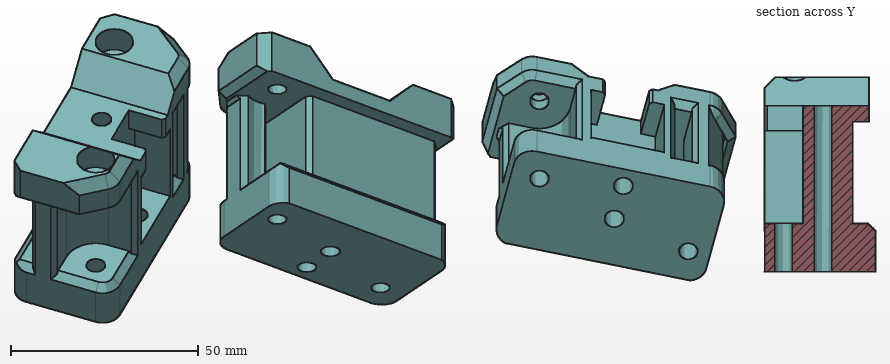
import cadquery as cq
import math

width = 29.75
length = 65.5
height = 52.0

level_tolerance = 0.005

base_length = 57.5
base_top = 13.0
corner_radius = 5.0
base_trim = 0.25
edge_chamfer = 2.0
chamfer_foot = base_top - edge_chamfer

head_left = 1.8
head_bottom = 40.1
deck_top = 44.4
left_corner_chamfer = 2.95
slant_x = 8.0
slant_y = 6.7
top_chamfer = 2.95
valley_half_floor = 9.5
valley_half_top = valley_half_floor + height - deck_top

right_screw = (21.7, -21.1)
left_screw = (8.8, 22.8)
screw_diameter = 5.0
counterbore_diameter = 10.0
clearance_radius = 8.5

column_left = 6.1
column_end = 14.4
column_chamfer = 1.3
column_top = head_bottom + edge_chamfer
flare = 0.9
flared_half_length = base_length / 2 + flare

small_start = 19.25
small_chamfer_x = 1.6
small_cylinder_start = 20.9
small_cylinder_end = 26.9
small_end_taper = 0.6

pocket_center_y = 1.25
pocket_left = 19.45
pocket_top = 37.65
pocket_width = 20.05
notch_width = 12.05
notch_flare = 0.8
pocket_hole_x = (pocket_left + width) / 2
pocket_hole_diameter = 5.1
column_hole_x = 14.1
column_hole_diameter = 5.2


def block(x_range, y_range, z_range):
    """Axis-aligned box between the given limits."""
    size = [limits[1] - limits[0] for limits in (x_range, y_range, z_range)]
    corner = (x_range[0], y_range[0], z_range[0])
    return cq.Workplane("XY").box(*size, centered=False).translate(corner)


def cylinder(center, diameter, bottom, top):
    """Vertical cylinder between two heights."""
    return (
        cq.Workplane("XY", origin=(*center, bottom))
        .circle(diameter / 2)
        .extrude(top - bottom)
    )


def chamfer_edges(body, level, keep, size):
    """Chamfer the edges lying at one height whose centre satisfies keep."""
    chosen = [
        edge
        for edge in body.edges("#Z").vals()
        if abs(edge.Center().z - level) < level_tolerance and keep(edge.Center())
    ]
    return body.newObject(chosen).chamfer(size)


def make_base():
    half = base_length / 2
    plate = (
        block((0, width), (-half, half), (0, base_top))
        .edges("|Z and >X")
        .fillet(corner_radius)
        .faces(">Z")
        .edges()
        .chamfer(edge_chamfer)
    )
    rounded = (
        block((-base_trim, width), (-half, half), (0, base_top))
        .edges("|Z")
        .fillet(corner_radius)
    )
    return plate.intersect(rounded)


def make_head():
    half = length / 2
    slant_start = width - slant_x
    outline = [
        (head_left, -half + left_corner_chamfer),
        (head_left + left_corner_chamfer, -half),
        (slant_start, -half),
        (width, -half + slant_y),
        (width, half - slant_y),
        (slant_start, half),
        (head_left + left_corner_chamfer, half),
        (head_left, half - left_corner_chamfer),
    ]
    head = (
        cq.Workplane("XY", origin=(0, 0, head_bottom))
        .polyline(outline)
        .close()
        .extrude(height - head_bottom)
        .edges("|Z and >X")
        .fillet(corner_radius)
    )
    head = chamfer_edges(head, height, lambda c: c.x > slant_start, top_chamfer)
    head = chamfer_edges(
        head, head_bottom, lambda c: c.x > head_left + left_corner_chamfer, edge_chamfer
    )
    valley = (
        cq.Workplane("YZ")
        .moveTo(-valley_half_top, height)
        .lineTo(-valley_half_floor, deck_top)
        .lineTo(valley_half_floor, deck_top)
        .lineTo(valley_half_top, height)
        .close()
        .extrude(width)
    )
    return head.cut(valley)


def column_envelope():
    """Side profile that trims the columns flush with the base and flares them at the head."""
    half = base_length / 2
    flare_start = head_bottom - flare
    side = [
        (half, chamfer_foot),
        (half, flare_start),
        (flared_half_length, head_bottom),
        (flared_half_length, column_top),
    ]
    mirrored = [(-y, z) for y, z in reversed(side)]
    return cq.Workplane("YZ").polyline(side + mirrored).close().extrude(width)


def make_main_column():
    wall_right = right_screw[0] - clearance_radius
    arm_front = right_screw[1] + clearance_radius
    bevel_start = -base_length / 2 + column_chamfer
    bevel = bevel_start + flared_half_length
    arc_offset = clearance_radius * math.sqrt(0.5)
    return (
        cq.Workplane("XY", origin=(0, 0, chamfer_foot))
        .moveTo(column_left, bevel_start)
        .lineTo(column_left + bevel, -flared_half_length)
        .lineTo(wall_right - bevel, -flared_half_length)
        .lineTo(wall_right, bevel_start)
        .lineTo(wall_right, right_screw[1])
        .threePointArc(
            (right_screw[0] - arc_offset, right_screw[1] + arc_offset),
            (right_screw[0], arm_front),
        )
        .lineTo(width - column_chamfer, arm_front)
        .lineTo(width, arm_front + column_chamfer)
        .lineTo(width, column_end - column_chamfer)
        .lineTo(width - column_chamfer, column_end)
        .lineTo(column_left + column_chamfer, column_end)
        .lineTo(column_left, column_end - column_chamfer)
        .close()
        .extrude(column_top - chamfer_foot)
    )


def clearance_x(y):
    """X of the clearance cylinder's right side around the left screw, at a given Y."""
    return left_screw[0] + math.sqrt(clearance_radius**2 - (y - left_screw[1]) ** 2)


def make_small_column():
    arc_start = (clearance_x(small_cylinder_start), small_cylinder_start)
    arc_middle = (left_screw[0] + clearance_radius, left_screw[1])
    arc_end = (clearance_x(small_cylinder_end), small_cylinder_end)
    taper = small_end_taper * (flared_half_length - small_cylinder_end)
    slant_length = math.hypot(slant_x, slant_y)
    corner_y = length / 2 - slant_y - edge_chamfer * slant_length / slant_x
    corner_x = width - (flared_half_length - corner_y) * slant_x / slant_y
    return (
        cq.Workplane("XY", origin=(0, 0, chamfer_foot))
        .moveTo(arc_start[0] + small_chamfer_x, small_start)
        .lineTo(*arc_start)
        .threePointArc(arc_middle, arc_end)
        .lineTo(arc_end[0] + taper, flared_half_length)
        .lineTo(corner_x, flared_half_length)
        .lineTo(width, corner_y)
        .lineTo(width, small_start + column_chamfer)
        .lineTo(width - column_chamfer, small_start)
        .close()
        .extrude(column_top - chamfer_foot)
    )


def make_pocket():
    """Pocket open to the right, with a narrower notch through the deck above it."""
    half_pocket = pocket_width / 2
    half_notch = notch_width / 2
    pocket = block(
        (pocket_left, width),
        (pocket_center_y - half_pocket, pocket_center_y + half_pocket),
        (base_top, pocket_top),
    )
    half_outline = [
        (pocket_left, half_notch),
        (width - notch_flare, half_notch),
        (width, half_notch + notch_flare),
    ]
    other_half = [(x, -y) for x, y in reversed(half_outline)]
    notch = (
        cq.Workplane("XY", origin=(0, pocket_center_y, base_top))
        .polyline(half_outline + other_half)
        .close()
        .extrude(deck_top - base_top)
    )
    return pocket.union(notch)


columns = make_main_column().union(make_small_column()).intersect(column_envelope())
result = make_base().union(make_head()).union(columns).cut(make_pocket())

for screw in (right_screw, left_screw):
    result = result.cut(cylinder(screw, screw_diameter, 0, height))
    result = result.cut(cylinder(screw, counterbore_diameter, deck_top, height))

column_hole = (column_hole_x, pocket_center_y)
pocket_hole = (pocket_hole_x, pocket_center_y)
result = result.cut(cylinder(column_hole, column_hole_diameter, 0, height))
result = result.cut(cylinder(pocket_hole, pocket_hole_diameter, 0, base_top))